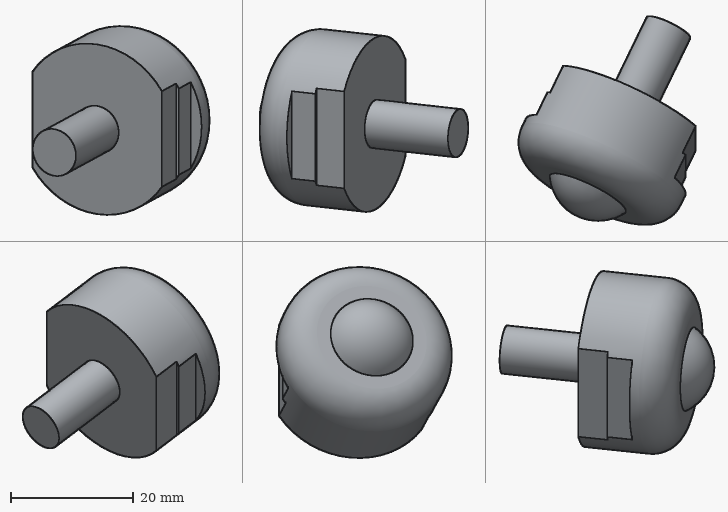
import cadquery as cq

overall_length = 35.0
body_diameter = 29.0
stem_diameter = 7.98
stem_length = 15.0
ball_radius = 7.98
ball_protrusion = 4.0
rim_radius = 5.3

lower_flat_width = 23.98
lower_flat_reach = 4.97
upper_flat_width = 25.0
upper_flat_reach = 9.17

body_radius = body_diameter / 2
body_length = overall_length - stem_length - ball_protrusion


def cylinder_along_y(radius, start, length):
    """Solid cylinder on the Y axis, extending toward +Y from start."""
    return cq.Workplane("XZ", origin=(0, start, 0)).circle(radius).extrude(-length)


def side_cutters(width, reach):
    """Two blocks that leave flats on the -X and +X sides of the body."""
    cutters = cq.Workplane()
    for side in (-1, 1):
        center_x = side * (width + body_diameter) / 2
        block = cq.Workplane().box(body_diameter, reach, body_diameter)
        cutters = cutters.add(block.translate((center_x, reach / 2, 0)))
    return cutters.combine()


body = cylinder_along_y(body_radius, 0, body_length)
body = body.faces(">Y").edges().fillet(rim_radius)

body = body.cut(side_cutters(upper_flat_width, upper_flat_reach))
body = body.cut(side_cutters(lower_flat_width, lower_flat_reach))

ball_center_y = body_length + ball_protrusion - ball_radius
ball = cq.Workplane().sphere(ball_radius).translate((0, ball_center_y, 0))

stem = cylinder_along_y(stem_diameter / 2, -stem_length, stem_length)

result = body.union(ball).union(stem)